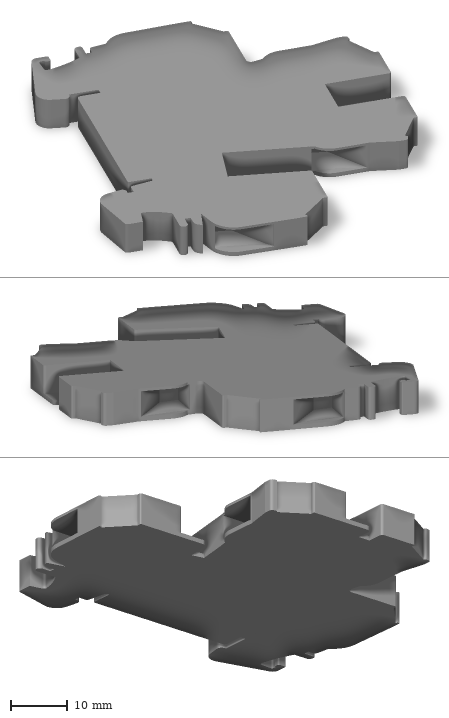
import cadquery as cq
import math


thickness = 6.0
half_width = 34.5
height = 62.7
tilt = math.radians(10)

tower_x = -3.05
tower_top_half = 11.6
tower_brow_half = 16.85
tower_ear_half = 18.3
tower_wall_half = 17.2
tower_neck_half = 15.45
tower_step_y = height - 0.8
tower_brow_y = 58.65
tower_ear_y = 59.1
tower_ear_bottom_y = 57.1
tower_wall_top_y = 51.95
tower_chin_y = 43.6
tower_neck_y = 42.2
tower_chin_radius = 4.5

wing_top_y = 39.3
wing_top_half = 29.4
wing_step_y = wing_top_y - 0.9
wing_brow_half = 33.8
wing_brow_y = 33.6
wing_ear_y = 33.9
wing_bend_y = 31.25
wing_wall_half = 34.2
wing_chin_radius = 5.0

hook_top_y = 13.8
finger_top_y = 12.7
finger_bottom_y = 11.2
base_y = 6.75
base_left = -16.35
base_right = 13.9

slot_width = 8.0
slot_length = 12.5
slot_floor_length = 9.0
slot_through_width = 2.5
slot_overrun = 2.1
tower_slot_corner = (-7.05, height - slot_length)
wing_slot_corner = (9.45, 25.75)
slot_strip_round = 0.9
slot_wall_round = 0.5

lip_bottom_z = 0.8
lip_top_z = 5.5
bore_bottom_z = 1.5
bore_top_z = 5.1
funnel_depth = 6.2
funnel_bore_length = 3.7
funnel_overrun = 0.7
tower_funnel_start_y = 51.55
tower_funnel_bore_y = 45.95
tower_funnel_recess_share = 0.07
tower_funnel_mouth_length = 9.65
wing_funnel_start_y = 27.6
wing_funnel_bore_y = 21.7
wing_funnel_recess_share = 0.19
wing_funnel_mouth_length = 9.25


def rounded_outline(corners):
    """Closed wire through (x, y, radius) corners, each rounded by a tangent arc."""
    entries = []
    for i, (x, y, radius) in enumerate(corners):
        here = cq.Vector(x, y)
        back = (cq.Vector(*corners[i - 1][:2]) - here).normalized()
        ahead = (cq.Vector(*corners[(i + 1) % len(corners)][:2]) - here).normalized()
        if radius == 0:
            entries.append((here, None, here))
            continue
        half_angle = back.getAngle(ahead) / 2
        setback = radius / math.tan(half_angle)
        bisector = (back + ahead).normalized()
        middle = here + bisector * (radius / math.sin(half_angle) - radius)
        entries.append((here + back * setback, middle, here + ahead * setback))

    path = cq.Workplane("XY").moveTo(*entries[0][2].toTuple()[:2])
    for start, middle, end in entries[1:] + entries[:1]:
        path = path.lineTo(*start.toTuple()[:2])
        if middle is not None:
            path = path.threePointArc(middle.toTuple()[:2], end.toTuple()[:2])
    return path.close()


def tower_side(side):
    """Corners of one tower side from the top down; side is -1 (left) or 1 (right)."""
    profile = [
        (tower_top_half, height, 0.3),
        (tower_top_half, tower_step_y, 0),
        (tower_brow_half, tower_brow_y, 0),
        (tower_wall_half, tower_ear_y, 0),
        (tower_ear_half, tower_ear_y - 0.2, 0.6),
        (tower_ear_half, tower_ear_bottom_y, 0),
        (tower_wall_half, tower_wall_top_y, 0),
        (tower_wall_half, tower_chin_y, tower_chin_radius),
        (tower_neck_half, tower_neck_y, 0),
    ]
    return [(tower_x + side * x, y, radius) for x, y, radius in profile]


def wing_side(side):
    """Corners of one wing from its top corner to the bend of the side wall."""
    profile = [
        (wing_top_half, wing_top_y, 0.3),
        (wing_top_half, wing_step_y, 0),
        (wing_brow_half, wing_brow_y, 0),
        (wing_brow_half + 0.2, wing_ear_y, 0),
        (half_width, wing_ear_y, 0),
        (half_width, wing_bend_y, 0),
    ]
    return [(side * x, y, radius) for x, y, radius in profile]


neck_inset = (tower_neck_y - wing_top_y) * math.tan(tilt)
neck_foot_half = tower_neck_half - neck_inset
neck_round = 0.9

left_rail_side = [
    (-wing_wall_half, 18.6, wing_chin_radius),
    (-31.8, 17.1, 0),
    (-31.4, hook_top_y, 0.75),
    (-29.75, hook_top_y, 0),
    (-29.75, finger_top_y, 0),
    (-32.3, finger_top_y, 0.5),
    (-32.3, finger_bottom_y, 0.8),
    (-28.7, finger_bottom_y, 0),
    (-27.2, 7.9, 24.15),
    (-26.6, 4.8, 0),
    (-26.6, 4.0, 0.4),
    (-29.6, 3.8, 0.4),
    (-29.6, 4.8, 0),
    (-29.25, 5.0, 0),
    (-29.25, 6.0, 0.35),
    (-30.9, 6.0, 0.2),
    (-30.9, 2.8, 1.1),
    (-17.25, -0.55, 2.5),
    (-16.1, 5.5, 1.0),
    (-17.45, 5.65, 0),
    (-17.45, finger_bottom_y, 0.3),
    (base_left, finger_bottom_y, 0),
    (base_left, base_y, 0.7),
]

right_rail_side = [
    (base_right, base_y, 0.2),
    (base_right, finger_bottom_y, 0),
    (14.6, finger_bottom_y, 0.3),
    (15.3, base_y, 0.35),
    (17.25, base_y, 0),
    (17.25, 5.65, 0),
    (15.7, 5.65, 0.8),
    (16.9, -0.6, 2.6),
    (27.3, 2.15, 0.6),
    (27.3, 5.3, 0),
    (24.3, 5.9, 0.55),
    (24.8, 8.7, 10.35),
    (26.2, finger_bottom_y, 0),
    (31.1, finger_bottom_y, 0.7),
    (31.1, finger_top_y, 0.7),
    (28.65, finger_top_y, 0),
    (28.65, hook_top_y, 0),
    (31.1, hook_top_y, 1.5),
    (31.55, 15.2, 0),
    (27.9, 16.0, 0),
    (wing_wall_half, 17.95, wing_chin_radius),
]

outline = (
    wing_side(-1)
    + left_rail_side
    + right_rail_side
    + wing_side(1)[::-1]
    + [(tower_x + neck_foot_half, wing_top_y, 0)]
    + tower_side(1)[::-1]
    + tower_side(-1)
    + [(tower_x - neck_foot_half, wing_top_y, neck_round)]
)


def tag_slot(corner, angle_deg, length):
    """Cutter of a slot: a deep pocket, and a narrow strip that goes right through."""
    pocket = cq.Workplane("XY").box(slot_width, length, thickness, centered=False)
    pocket = pocket.translate((0, 0, lip_bottom_z))
    strip = cq.Workplane("XY").box(
        slot_through_width, length - slot_floor_length, thickness, centered=False
    )
    strip = strip.translate((0, slot_floor_length, 0))
    cutter = pocket.union(strip)
    return cutter.rotate((0, 0, 0), (0, 0, 1), angle_deg).translate((*corner, 0))


def wire_funnel(wall_x, start_y, bore_y, recess_share, mouth_length):
    """Cutter of a wire entry in a left-hand wall: an open recess that tapers to a bore.

    The sloping end wall runs straight from (wall_x, start_y) to the bore; the recess takes
    recess_share of it and the taper takes the rest.
    """
    lean = (math.sin(tilt), -math.cos(tilt))
    mouth_top = (wall_x + recess_share * funnel_depth, start_y + recess_share * (bore_y - start_y))
    mouth_end = (mouth_top[0] + mouth_length * lean[0], mouth_top[1] + mouth_length * lean[1])
    bore_top = (wall_x + funnel_depth, bore_y)
    bore_end = (
        bore_top[0] + funnel_bore_length * lean[0],
        bore_top[1] + funnel_bore_length * lean[1],
    )
    outside_x = wall_x - funnel_overrun

    recess_corners = [
        (outside_x, start_y),
        (wall_x, start_y),
        mouth_top,
        mouth_end,
        (outside_x, mouth_end[1]),
    ]
    recess = (
        cq.Workplane("XY", origin=(0, 0, lip_bottom_z))
        .polyline(recess_corners)
        .close()
        .extrude(lip_top_z - lip_bottom_z)
    )

    def upright_frame(first, last, low, high):
        points = [(*first, low), (*last, low), (*last, high), (*first, high)]
        return cq.Wire.makePolygon([cq.Vector(*p) for p in points], close=True)

    taper = cq.Solid.makeLoft(
        [
            upright_frame(mouth_top, mouth_end, lip_bottom_z, lip_top_z),
            upright_frame(bore_top, bore_end, bore_bottom_z, bore_top_z),
        ],
        True,
    )
    return recess.union(cq.Workplane(taper))


body = rounded_outline(outline).extrude(thickness)

body = body.cut(tag_slot(tower_slot_corner, 0, slot_length + slot_overrun))
wing_slot_rise = wing_top_y - wing_slot_corner[1]
wing_slot_length = wing_slot_rise / math.cos(tilt) + slot_overrun
body = body.cut(tag_slot(wing_slot_corner, -math.degrees(tilt), wing_slot_length))

tower_slot_x = tower_slot_corner[0]
wing_slot_x = wing_slot_corner[0] + wing_slot_rise * math.tan(tilt)
floor_middle_z = lip_bottom_z / 2
wall_middle_z = (lip_bottom_z + thickness) / 2
slot_mouth_edges = [
    (tower_slot_x, height, thickness / 2, slot_wall_round),
    (tower_slot_x + slot_through_width, height, floor_middle_z, slot_strip_round),
    (tower_slot_x + slot_width, height, wall_middle_z, slot_wall_round),
    (wing_slot_x + slot_through_width / math.cos(tilt), wing_top_y, floor_middle_z, slot_strip_round),
    (wing_slot_x + slot_width / math.cos(tilt), wing_top_y, wall_middle_z, slot_wall_round),
]
for x, y, z, radius in slot_mouth_edges:
    body = body.edges("|Z").edges(cq.NearestToPointSelector((x, y, z))).fillet(radius)

tower_funnel = wire_funnel(
    tower_x - tower_wall_half,
    tower_funnel_start_y,
    tower_funnel_bore_y,
    tower_funnel_recess_share,
    tower_funnel_mouth_length,
)
wing_funnel = wire_funnel(
    -wing_wall_half,
    wing_funnel_start_y,
    wing_funnel_bore_y,
    wing_funnel_recess_share,
    wing_funnel_mouth_length,
)
for funnel, middle_x in ((tower_funnel, tower_x), (wing_funnel, 0)):
    opposite_funnel = funnel.mirror("YZ", (middle_x, 0, 0))
    body = body.cut(funnel).cut(opposite_funnel)

result = body